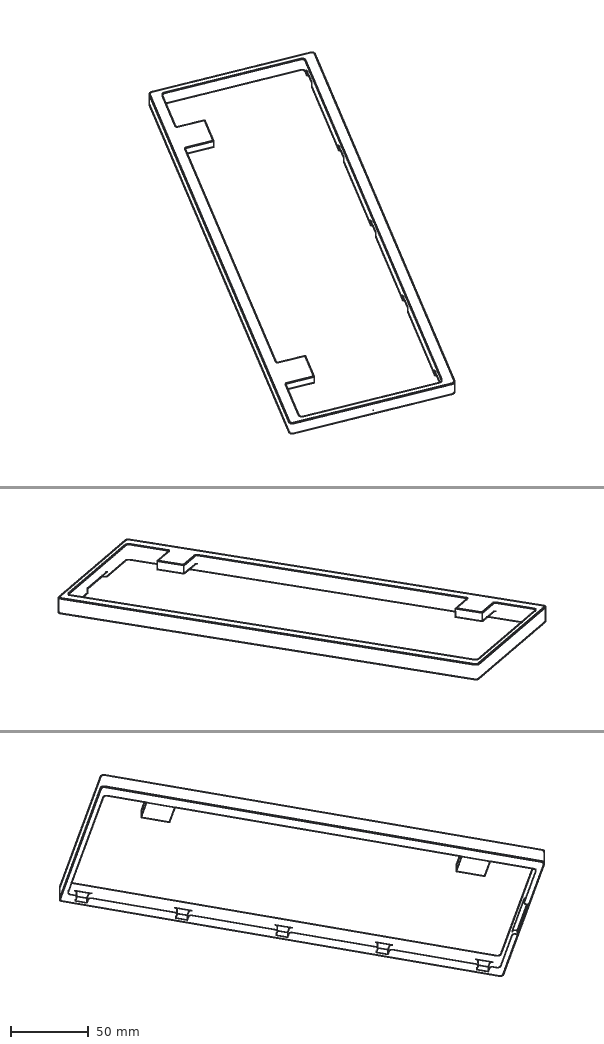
import cadquery as cq

LENGTH = 294.8
WIDTH = 112.3
HEIGHT = 11.0

LONG_BAR_WIDTH = 8.0
END_BAR_WIDTH = 3.8
OUTER_CORNER_RADIUS = 2.5
INNER_CORNER_RADIUS = 2.0
EDGE_CHAMFER = 0.5
INNER_RIM_CHAMFER = 0.4

TAB_WIDTH = 19.0
TAB_REACH = 19.5
TAB_THICKNESS = 6.2
TAB_SPACING = 209.3
TAB_ROOT_RADIUS = 1.03

NOTCH_COUNT = 5
NOTCH_PITCH = 66.5
NOTCH_WIDTH = 7.7
NOTCH_DEPTH = 5.0
NOTCH_HEIGHT = 4.0
NOTCH_MOUTH_RADIUS = 1.8

END_NOTCH_WIDTH = 29.0
END_NOTCH_DEPTH = 3.0
END_NOTCH_HEIGHT = 3.2

OPENING_LENGTH = LENGTH - 2 * END_BAR_WIDTH
OPENING_WIDTH = WIDTH - 2 * LONG_BAR_WIDTH
INNER_X = OPENING_LENGTH / 2
INNER_Y = OPENING_WIDTH / 2
TAB_CENTERS_X = (-TAB_SPACING / 2, TAB_SPACING / 2)


def make_outer_block():
    """Rounded block with its top and bottom rims chamfered."""
    block = cq.Workplane("XY").box(LENGTH, WIDTH, HEIGHT, centered=(True, True, False))
    return block.edges("|Z").fillet(OUTER_CORNER_RADIUS).faces("<Z or >Z").chamfer(EDGE_CHAMFER)


def make_opening():
    """Rounded window that goes around the two tabs."""
    opening = cq.Workplane("XY").box(OPENING_LENGTH, OPENING_WIDTH, HEIGHT, centered=(True, True, False))
    opening = opening.edges("|Z").fillet(INNER_CORNER_RADIUS)
    for center_x in TAB_CENTERS_X:
        opening = opening.cut(make_tab_block(center_x))
        for side in (-1, 1):
            root_point = (center_x + side * TAB_WIDTH / 2, -INNER_Y, HEIGHT / 2)
            root_edge = cq.selectors.NearestToPointSelector(root_point)
            opening = opening.edges("|Z").edges(root_edge).fillet(TAB_ROOT_RADIUS)
    return opening


def make_tab_block(center_x):
    """Full-height block with the plan shape of one tab."""
    block = cq.Workplane("XY").box(TAB_WIDTH, TAB_REACH, HEIGHT, centered=(True, False, False))
    return block.translate((center_x, -INNER_Y, 0))


def make_notch(width, depth, height):
    """Notch at the origin that cuts toward +Y, with its mouth corners rounded over."""
    half = width / 2
    radius = NOTCH_MOUTH_RADIUS
    return (
        cq.Workplane("XY")
        .moveTo(-half - radius, 0)
        .radiusArc((-half, radius), -radius)
        .lineTo(-half, depth)
        .lineTo(half, depth)
        .lineTo(half, radius)
        .radiusArc((half + radius, 0), -radius)
        .close()
        .extrude(height)
    )


def make_tab_clearance(center_x):
    """Space below one tab, wide enough to take away the root fillets there."""
    clearance_width = TAB_WIDTH + 2 * TAB_ROOT_RADIUS
    clearance_height = HEIGHT - TAB_THICKNESS
    clearance = cq.Workplane("XY").box(
        clearance_width, TAB_REACH, clearance_height, centered=(True, False, False)
    )
    return clearance.translate((center_x, -INNER_Y, 0))


def chamfer_inner_rim(body):
    """Chamfer the top edges around the opening and the tabs."""
    margin = INNER_RIM_CHAMFER / 2
    rim_edges = cq.selectors.BoxSelector(
        (-INNER_X - margin, -INNER_Y - margin, HEIGHT - margin),
        (INNER_X + margin, INNER_Y + margin, HEIGHT + margin),
    )
    return body.edges(rim_edges).chamfer(INNER_RIM_CHAMFER)


frame = make_outer_block().cut(make_opening())
for tab_x in TAB_CENTERS_X:
    frame = frame.cut(make_tab_clearance(tab_x))
frame = chamfer_inner_rim(frame)

back_notch = make_notch(NOTCH_WIDTH, NOTCH_DEPTH, NOTCH_HEIGHT)
for index in range(NOTCH_COUNT):
    notch_x = (index - (NOTCH_COUNT - 1) / 2) * NOTCH_PITCH
    frame = frame.cut(back_notch.translate((notch_x, INNER_Y, 0)))

end_notch = make_notch(END_NOTCH_WIDTH, END_NOTCH_DEPTH, END_NOTCH_HEIGHT)
end_notch = end_notch.rotate((0, 0, 0), (0, 0, 1), -90)
frame = frame.cut(end_notch.translate((INNER_X, 0, 0)))

result = frame